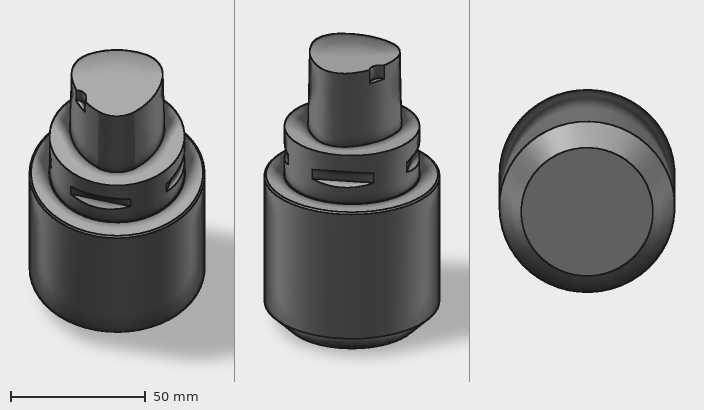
import cadquery as cq
import math

TOTAL_HEIGHT = 110.0
NOSE_HEIGHT = 8.0
FLANGE_BOTTOM = 60.0
FLANGE_TOP = 80.0

BODY_RADIUS = 65.0 / 2
NOSE_RADIUS = 24.4
BODY_CHAMFER = 0.7
FLANGE_RADIUS = 50.0 / 2
FOOT_FLARE = 0.2

LOBE_COUNT = 3
LOBE_REACH = 18.5
SIDE_REACH = 16.3
LOBE_RADIUS = 11.7
SHANK_TAPER_ANGLE = 1.2

SLOT_COUNT = 4
SLOT_START_ANGLE = 45.0
SLOT_FLOOR_DISTANCE = 22.2
SLOT_FLOOR_WIDTH = 3.8
SLOT_MOUTH_WIDTH = 6.6
SLOT_DROP = 10.0

NOTCH_RADIUS = 4.0
NOTCH_REACH = 13.6
NOTCH_HEIGHT = 5.5


def polar(radius, angle):
    """Point at the given radius and angle in degrees."""
    a = math.radians(angle)
    return (radius * math.cos(a), radius * math.sin(a))


def make_turned_body():
    """Nose cone, main cylinder and flange, revolved about Z."""
    profile = [
        (0, 0),
        (NOSE_RADIUS, 0),
        (BODY_RADIUS, NOSE_HEIGHT),
        (BODY_RADIUS, FLANGE_BOTTOM - BODY_CHAMFER),
        (BODY_RADIUS - BODY_CHAMFER, FLANGE_BOTTOM),
        (FLANGE_RADIUS + FOOT_FLARE, FLANGE_BOTTOM),
        (FLANGE_RADIUS, FLANGE_BOTTOM + FOOT_FLARE),
        (FLANGE_RADIUS, FLANGE_TOP),
        (0, FLANGE_TOP),
    ]
    return cq.Workplane("XZ").polyline(profile).close().revolve(360, (0, 0), (0, 1))


def make_shank():
    """Tapered shank whose outline alternates tangent lobe arcs and flatter side arcs."""
    lobe_centre = LOBE_REACH - LOBE_RADIUS
    gap = SIDE_REACH - LOBE_RADIUS
    side_centre = (lobe_centre**2 - gap**2) / (2 * gap - lobe_centre)
    side_radius = SIDE_REACH + side_centre

    half_pitch = 180 / LOBE_COUNT
    side_x, side_y = polar(-side_centre, half_pitch)
    direction = math.atan2(-side_y, lobe_centre - side_x)
    join_x = side_x + side_radius * math.cos(direction)
    join_y = side_y + side_radius * math.sin(direction)
    join_reach = math.hypot(join_x, join_y)
    join_angle = math.degrees(math.atan2(join_y, join_x))

    first_lobe = 90
    start = polar(join_reach, first_lobe - join_angle)
    outline = cq.Workplane("XY", origin=(0, 0, FLANGE_TOP)).moveTo(*start)
    for i in range(LOBE_COUNT):
        lobe = first_lobe + i * 2 * half_pitch
        side = lobe + half_pitch
        next_lobe = side + half_pitch
        outline = outline.threePointArc(polar(LOBE_REACH, lobe), polar(join_reach, lobe + join_angle))
        outline = outline.threePointArc(polar(SIDE_REACH, side), polar(join_reach, next_lobe - join_angle))
    return outline.close().extrude(TOTAL_HEIGHT - FLANGE_TOP, taper=SHANK_TAPER_ANGLE)


def make_slot(angle):
    """Straight slot cutter with flared flanks, tangential to the flange."""
    depth = FLANGE_RADIUS - SLOT_FLOOR_DISTANCE
    half_floor = SLOT_FLOOR_WIDTH / 2
    half_mouth = SLOT_MOUTH_WIDTH / 2
    section = [
        (0, -half_floor),
        (depth, -half_mouth),
        (depth, half_mouth),
        (0, half_floor),
    ]
    cutter = (
        cq.Workplane("XZ", origin=(SLOT_FLOOR_DISTANCE, 0, FLANGE_TOP - SLOT_DROP))
        .polyline(section)
        .close()
        .extrude(FLANGE_RADIUS, both=True)
    )
    return cutter.rotate((0, 0, 0), (0, 0, 1), angle)


def make_notch():
    """Upright round cutter for the notch on the -Y side of the shank."""
    return (
        cq.Workplane("XY", origin=(0, -NOTCH_REACH - NOTCH_RADIUS, TOTAL_HEIGHT - NOTCH_HEIGHT))
        .circle(NOTCH_RADIUS)
        .extrude(NOTCH_HEIGHT)
    )


result = make_turned_body().union(make_shank()).cut(make_notch())
for slot_index in range(SLOT_COUNT):
    result = result.cut(make_slot(SLOT_START_ANGLE + slot_index * 360 / SLOT_COUNT))